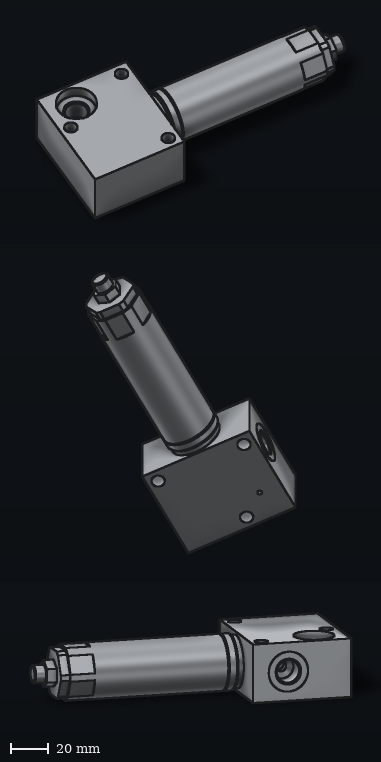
import cadquery as cq
import math

BLOCK_WIDTH = 63.5
BLOCK_LENGTH = 54.0
BLOCK_HEIGHT = 31.8
TOTAL_LENGTH = 166.3

MOUNT_DIAMETER = 7.0
MOUNT_EDGE_MARGIN = 6.3
FRONT_MOUNT_X = -6.0

PORT_SPOTFACE_DIAMETER = 21.6
PORT_BORE_DIAMETER = 12.3
PORT_MOUTH_CHAMFER = 0.8
PORT_BORE_DEPTH = 11.6
DRILL_POINT_ANGLE = 118.0
TOP_PORT_X = -19.1
TOP_PORT_Y = 17.0
TOP_PORT_SPOTFACE_DEPTH = 6.7
TOP_PORT_PILOT_DIAMETER = 2.3
SIDE_PORT_Y = 34.6
SIDE_PORT_SPOTFACE_DEPTH = 0.2
SIDE_PORT_PILOT_DIAMETER = 5.5
SIDE_PORT_PILOT_DEPTH = 5.0

COLLAR_START_Y = 57.0
COLLAR_BEVEL_LENGTH = 1.0
GROOVE_START_Y = 62.0
GROOVE_WIDTH = 0.8
FLATS_START_Y = 136.2
SLEEVE_END_Y = 149.6
LARGE_HEX_END_Y = 154.6
SMALL_HEX_END_Y = 160.1

NECK_DIAMETER = 28.5
SLEEVE_DIAMETER = 30.5
GROOVE_DEPTH = 0.2
COLLAR_BEVEL_DEPTH = 0.7
SLEEVE_ACROSS_FLATS = 28.6
SLEEVE_SIDE_FLAT_ANGLE = 27.0
LARGE_HEX_ACROSS_FLATS = 25.6
LARGE_HEX_CORNER_DIAMETER = 28.0
SMALL_HEX_ACROSS_FLATS = 12.6
STEM_DIAMETER = 9.6
STEM_CHAMFER = 0.7


def rod(start_y, end_y, diameter):
    """Solid cylinder along +Y on the cartridge axis."""
    return cq.Workplane("XZ", origin=(0, start_y, 0)).circle(diameter / 2).extrude(start_y - end_y)


def hex_prism(start_y, end_y, across_flats, turn=0.0):
    """Hexagonal bar along +Y, with two corners on the X axis before it is turned."""
    across_corners = across_flats / math.cos(math.pi / 6)
    bar = cq.Workplane("XZ", origin=(0, start_y, 0)).polygon(6, across_corners).extrude(start_y - end_y)
    return bar.rotate((0, 0, 0), (0, 1, 0), turn)


def port_cutter(spotface_depth, pilot_diameter, pilot_depth):
    """Port cavity whose mouth lies on Z = 0 and which runs down along -Z."""
    spotface_radius = PORT_SPOTFACE_DIAMETER / 2
    bore_radius = PORT_BORE_DIAMETER / 2
    pilot_radius = pilot_diameter / 2
    bore_end = spotface_depth + PORT_BORE_DEPTH
    point_end = bore_end + (bore_radius - pilot_radius) / math.tan(math.radians(DRILL_POINT_ANGLE / 2))
    profile = [
        (0, 0),
        (spotface_radius, 0),
        (spotface_radius, -spotface_depth),
        (bore_radius + PORT_MOUTH_CHAMFER, -spotface_depth),
        (bore_radius, -spotface_depth - PORT_MOUTH_CHAMFER),
        (bore_radius, -bore_end),
        (pilot_radius, -point_end),
        (pilot_radius, -point_end - pilot_depth),
        (0, -point_end - pilot_depth),
    ]
    return cq.Workplane("XZ").polyline(profile).close().revolve(360, (0, 0), (0, 1))


def make_block():
    block = cq.Workplane("XY").box(BLOCK_WIDTH, BLOCK_LENGTH, BLOCK_HEIGHT)
    block = block.translate((0, BLOCK_LENGTH / 2, 0))
    rear_x = BLOCK_WIDTH / 2 - MOUNT_EDGE_MARGIN
    rear_y = BLOCK_LENGTH - MOUNT_EDGE_MARGIN
    mounts = [(-rear_x, rear_y), (rear_x, rear_y), (FRONT_MOUNT_X, MOUNT_EDGE_MARGIN)]
    holes = cq.Workplane("XY").pushPoints(mounts).circle(MOUNT_DIAMETER / 2).extrude(BLOCK_HEIGHT, both=True)

    top_port = port_cutter(TOP_PORT_SPOTFACE_DEPTH, TOP_PORT_PILOT_DIAMETER, BLOCK_HEIGHT)
    top_port = top_port.translate((TOP_PORT_X, TOP_PORT_Y, BLOCK_HEIGHT / 2))
    side_port = port_cutter(SIDE_PORT_SPOTFACE_DEPTH, SIDE_PORT_PILOT_DIAMETER, SIDE_PORT_PILOT_DEPTH)
    side_port = side_port.rotate((0, 0, 0), (0, 1, 0), -90)
    side_port = side_port.translate((-BLOCK_WIDTH / 2, SIDE_PORT_Y, 0))
    return block.cut(holes).cut(top_port).cut(side_port)


def make_sleeve():
    """Round sleeve with a bevelled collar, a shallow groove and six wrench flats at its outer end."""
    radius = SLEEVE_DIAMETER / 2
    bevel_end = COLLAR_START_Y + COLLAR_BEVEL_LENGTH
    groove_end = GROOVE_START_Y + GROOVE_WIDTH
    profile = [
        (0, COLLAR_START_Y),
        (radius - COLLAR_BEVEL_DEPTH, COLLAR_START_Y),
        (radius, bevel_end),
        (radius, GROOVE_START_Y),
        (radius - GROOVE_DEPTH, GROOVE_START_Y),
        (radius - GROOVE_DEPTH, groove_end),
        (radius, groove_end),
        (radius, FLATS_START_Y),
        (0, FLATS_START_Y),
    ]
    sleeve = cq.Workplane("XY").polyline(profile).close().revolve(360, (0, 0), (0, 1))
    flats_length = SLEEVE_END_Y - FLATS_START_Y
    flats_middle = (FLATS_START_Y + SLEEVE_END_Y) / 2
    slab = cq.Workplane("XY").box(SLEEVE_ACROSS_FLATS, flats_length, SLEEVE_DIAMETER)
    slab = slab.translate((0, flats_middle, 0))
    end = rod(FLATS_START_Y, SLEEVE_END_Y, SLEEVE_DIAMETER)
    for angle in (90, SLEEVE_SIDE_FLAT_ANGLE, -SLEEVE_SIDE_FLAT_ANGLE):
        end = end.intersect(slab.rotate((0, 0, 0), (0, 1, 0), angle))
    return sleeve.union(end)


def make_adjuster():
    """Large hexagon with rounded corners, small hexagon and chamfered stem."""
    large_hex = hex_prism(SLEEVE_END_Y, LARGE_HEX_END_Y, LARGE_HEX_ACROSS_FLATS).intersect(
        rod(SLEEVE_END_Y, LARGE_HEX_END_Y, LARGE_HEX_CORNER_DIAMETER)
    )
    small_hex = hex_prism(LARGE_HEX_END_Y, SMALL_HEX_END_Y, SMALL_HEX_ACROSS_FLATS, turn=30)
    stem = rod(SMALL_HEX_END_Y, TOTAL_LENGTH, STEM_DIAMETER).faces(">Y").chamfer(STEM_CHAMFER)
    return large_hex.union(small_hex).union(stem)


neck = rod(BLOCK_LENGTH, COLLAR_START_Y, NECK_DIAMETER)
result = make_block().union(neck).union(make_sleeve()).union(make_adjuster())